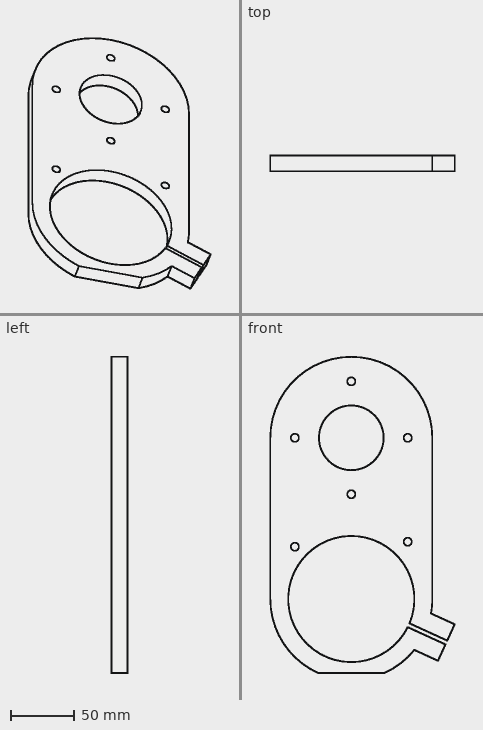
import cadquery as cq
import math

plate_thickness = 12.7
end_radius = 63.9
centre_distance = 127.0
total_height = 249.3
flat_depth = total_height - end_radius - centre_distance

upper_bore_diameter = 50.8
clamp_bore_diameter = 99.2

screw_hole_diameter = 6.35
screw_hole_depth = 0.75 * plate_thickness
bolt_circle_radius = 44.45
bolt_count = 4
left_hole_drop = 85.8
right_hole_drop = 81.9

ear_angle = -24.6
ear_reach = 82.41
ear_block_width = 31.75
slit_width = 3.175


def plate_sketch(x, z):
    """Front-face workplane (y = 0) with its origin at x, z; extrude negative to go toward +Y."""
    return cq.Workplane("XZ", origin=(x, 0, z))


def disc(diameter, x, z, depth=plate_thickness):
    return plate_sketch(x, z).circle(diameter / 2).extrude(-depth)


def make_plate():
    """The clamp bore is centred on the origin, with the upper bore above it."""
    flat_half_width = math.sqrt(end_radius**2 - flat_depth**2)
    arc_point = end_radius * math.sqrt(0.5)
    return (
        plate_sketch(0, 0)
        .moveTo(-flat_half_width, -flat_depth)
        .lineTo(flat_half_width, -flat_depth)
        .threePointArc((arc_point, -arc_point), (end_radius, 0))
        .lineTo(end_radius, centre_distance)
        .threePointArc((0, centre_distance + end_radius), (-end_radius, centre_distance))
        .lineTo(-end_radius, 0)
        .threePointArc((-arc_point, -arc_point), (-flat_half_width, -flat_depth))
        .close()
        .extrude(-plate_thickness)
    )


def radial_bar(width):
    """Bar from the clamp bore centre out to the ear tips, along the ear direction."""
    bar = plate_sketch(0, 0).center(ear_reach / 2, 0).rect(ear_reach, width).extrude(-plate_thickness)
    return bar.rotate((0, 0, 0), (0, 1, 0), -ear_angle)


def screw_hole_positions():
    positions = [
        (-bolt_circle_radius, centre_distance - left_hole_drop),
        (bolt_circle_radius, centre_distance - right_hole_drop),
    ]
    for index in range(bolt_count):
        angle = index * 2 * math.pi / bolt_count
        x = bolt_circle_radius * math.cos(angle)
        z = centre_distance + bolt_circle_radius * math.sin(angle)
        positions.append((x, z))
    return positions


result = make_plate().union(radial_bar(ear_block_width))
result = result.cut(disc(clamp_bore_diameter, 0, 0))
result = result.cut(disc(upper_bore_diameter, 0, centre_distance))
result = result.cut(radial_bar(slit_width))
for hole_x, hole_z in screw_hole_positions():
    result = result.cut(disc(screw_hole_diameter, hole_x, hole_z, screw_hole_depth))